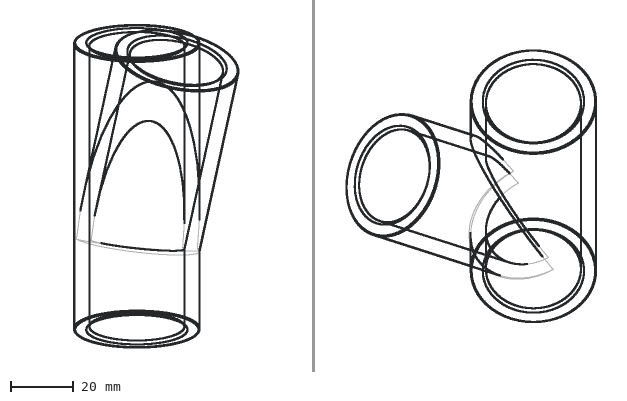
import cadquery as cq

OUTER_RADIUS = 20.0
BORE_RADIUS = 30.29 / 2
RUN_LENGTH = 95.5
BRANCH_LENGTH = 67.0
BRANCH_ANGLE = 45.0
JUNCTION_HEIGHT = RUN_LENGTH - BRANCH_LENGTH

OUTER_CHAMFER = 0.3
BORE_CHAMFER = 1.0
CROTCH_RADIUS = 2.0


def rod(radius, length):
    """Cylinder standing on the XY plane."""
    return cq.Workplane("XY").circle(radius).extrude(length)


def countersink(height, direction):
    """Cone that breaks the bore edge of a mouth at the given height, widening along direction."""
    mouth = cq.Solid.makeCone(
        BORE_RADIUS + BORE_CHAMFER,
        BORE_RADIUS,
        BORE_CHAMFER,
        pnt=cq.Vector(0, 0, height),
        dir=cq.Vector(0, 0, -direction),
    )
    return cq.Workplane(mouth)


def place_branch(shape):
    """Tilt a shape built along +Z onto the branch axis."""
    tilted = shape.rotate((0, 0, 0), (1, 0, 0), -BRANCH_ANGLE)
    return tilted.translate((0, 0, JUNCTION_HEIGHT))


def outer_body():
    """Run and branch as solid rods, with the crotch under the branch rounded."""
    run = rod(OUTER_RADIUS, RUN_LENGTH).faces("<Z or >Z").chamfer(OUTER_CHAMFER)
    branch = rod(OUTER_RADIUS, BRANCH_LENGTH).faces(">Z").chamfer(OUTER_CHAMFER)
    body = run.union(place_branch(branch))
    crotch = cq.selectors.BoxSelector(
        (-OUTER_RADIUS, 0, 0),
        (OUTER_RADIUS, OUTER_RADIUS, JUNCTION_HEIGHT),
    )
    return body.edges("%ELLIPSE").edges(crotch).fillet(CROTCH_RADIUS)


def run_bore():
    """Through bore of the run with a countersink at both mouths."""
    bore = rod(BORE_RADIUS, RUN_LENGTH)
    return bore.union(countersink(0, -1)).union(countersink(RUN_LENGTH, 1))


def branch_bore():
    """Bore of the branch, from the junction to its countersunk mouth."""
    return place_branch(rod(BORE_RADIUS, BRANCH_LENGTH).union(countersink(BRANCH_LENGTH, 1)))


result = outer_body().cut(run_bore()).cut(branch_bore())